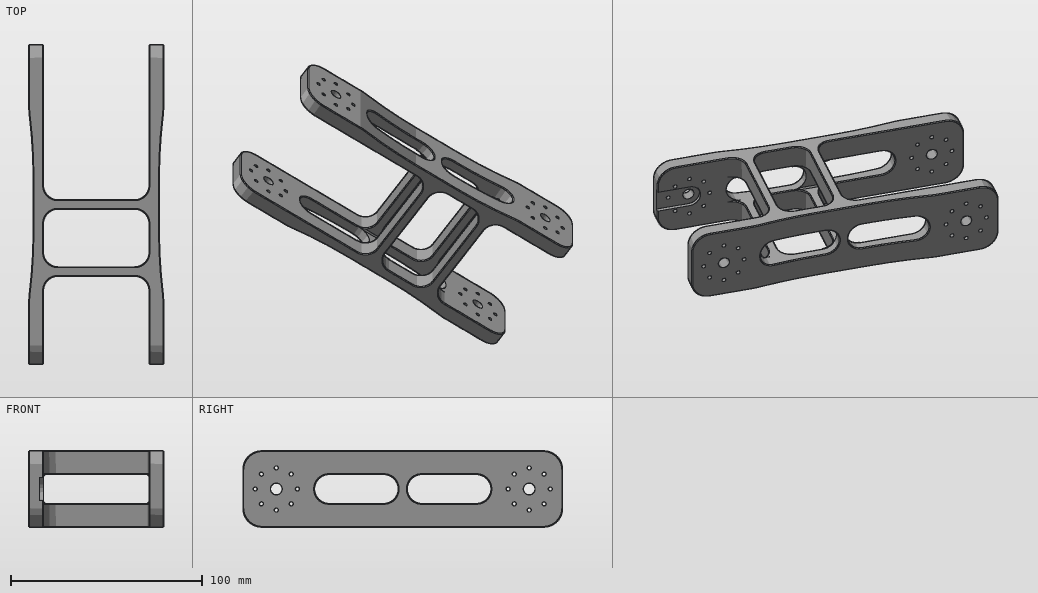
import cadquery as cq
WIDTH = 70.5
LENGTH = 167.0
HEIGHT = 40.0

ARM_THICKNESS = 7.75
ARM_END_RADIUS = 10.0
INNER_HALF_GAP = WIDTH / 2 - ARM_THICKNESS
WAIST_INSET = 2.25
WAIST_FLAT_HALF_LENGTH = 13.8
WAIST_CURVE_JOIN = 46.75
WAIST_CURVE_START = 50.25
EDGE_CHAMFER = 0.5

CENTER_TOLERANCE = 0.1

BAR_THICKNESS = 5.0
BAR_CENTERS_Y = (0.0, -35.0)
BAR_FILLET = 7.5
BAR_OPENING_HEIGHT = 15.0
BAR_OPENING_BEVEL = 0.8

SLOT_HEIGHT = 15.0
SLOT_LENGTH = 43.6
SLOT_CENTER_Y = 24.2

BOSS_CENTER_Y = 66.0
CENTER_HOLE_DIAMETER = 6.0
BOLT_HOLE_DIAMETER = 2.0
BOLT_CIRCLE_DIAMETER = 22.0
BOLT_COUNT = 8

CHANNEL_WIDTH = 12.0
CHANNEL_DEPTH = 2.0


def waisted_plate():
    """Plan outline with both long sides drawn in by tangent arcs towards the middle."""
    half_width = WIDTH / 2
    half_length = LENGTH / 2
    waist_x = half_width - WAIST_INSET
    convex_run = WAIST_CURVE_START - WAIST_CURVE_JOIN
    concave_run = WAIST_CURVE_JOIN - WAIST_FLAT_HALF_LENGTH
    join_x = half_width - WAIST_INSET * convex_run / (convex_run + concave_run)
    return (
        cq.Workplane("XY")
        .workplane(offset=-HEIGHT / 2)
        .moveTo(0, half_length)
        .lineTo(half_width, half_length)
        .lineTo(half_width, WAIST_CURVE_START)
        .tangentArcPoint((join_x, WAIST_CURVE_JOIN), relative=False)
        .tangentArcPoint((waist_x, WAIST_FLAT_HALF_LENGTH), relative=False)
        .lineTo(waist_x, -WAIST_FLAT_HALF_LENGTH)
        .tangentArcPoint((join_x, -WAIST_CURVE_JOIN), relative=False)
        .tangentArcPoint((half_width, -WAIST_CURVE_START), relative=False)
        .lineTo(half_width, -half_length)
        .lineTo(0, -half_length)
        .mirrorY()
        .extrude(HEIGHT)
    )


def bay(limits, rounded_edges, height=HEIGHT, growth=0.0):
    """Void between the arms, rounded where it meets the cross bars and grown sideways on request."""
    y_low, y_high = limits
    void = (
        cq.Workplane("XY")
        .box(2 * (INNER_HALF_GAP + growth), y_high - y_low + 2 * growth, height)
        .translate((0, (y_low + y_high) / 2, 0))
    )
    return void.edges(rounded_edges).fillet(BAR_FILLET + growth)


def between_arms():
    """Block that fills the whole gap between the arms."""
    return cq.Workplane("XY").box(2 * INNER_HALF_GAP, LENGTH, HEIGHT)


def side_slots(half_width=WIDTH / 2, growth=0.0):
    return (
        cq.Workplane("YZ")
        .pushPoints([(SLOT_CENTER_Y, 0), (-SLOT_CENTER_Y, 0)])
        .slot2D(SLOT_LENGTH + 2 * growth, SLOT_HEIGHT + 2 * growth)
        .extrude(half_width, both=True)
    )


def rear_slot_flares():
    """Chamfer volumes where the slots behind the cross bars open on the inner faces of the arms."""
    flared = side_slots(INNER_HALF_GAP + EDGE_CHAMFER, EDGE_CHAMFER)
    flared = flared.faces("<X or >X").chamfer(EDGE_CHAMFER).cut(between_arms())
    straight_start = max(BAR_CENTERS_Y) + BAR_THICKNESS / 2 + BAR_FILLET
    rear_region = cq.Workplane("XY").box(WIDTH, LENGTH, HEIGHT).translate((0, straight_start + LENGTH / 2, 0))
    return flared.intersect(rear_region)


def bolt_pattern(center_y):
    center_hole = (
        cq.Workplane("YZ").center(center_y, 0).circle(CENTER_HOLE_DIAMETER / 2).extrude(WIDTH / 2, both=True)
    )
    bolt_holes = (
        cq.Workplane("YZ")
        .center(center_y, 0)
        .polarArray(BOLT_CIRCLE_DIAMETER / 2, 0, 360, BOLT_COUNT)
        .circle(BOLT_HOLE_DIAMETER / 2)
        .extrude(WIDTH / 2, both=True)
    )
    return center_hole.union(bolt_holes)


def bar_openings():
    """One passage along Y through both cross bars, with its four long corners beveled."""
    bar_span = max(BAR_CENTERS_Y) - min(BAR_CENTERS_Y) + BAR_THICKNESS + 2 * BAR_FILLET
    passage = (
        cq.Workplane("XY")
        .box(2 * INNER_HALF_GAP, bar_span, BAR_OPENING_HEIGHT)
        .translate((0, sum(BAR_CENTERS_Y) / 2, 0))
    )
    return passage.edges("|Y").chamfer(BAR_OPENING_BEVEL)


def bar_opening_flare(limits, rounded_edges):
    """Chamfer volume on the rims facing one bay: across the bars and along the straight slot walls."""
    flare_height = BAR_OPENING_HEIGHT + 2 * EDGE_CHAMFER
    flared = bay(limits, rounded_edges, flare_height, EDGE_CHAMFER).faces("<Z or >Z").chamfer(EDGE_CHAMFER)
    straight_slots = (
        cq.Workplane("XY")
        .pushPoints([(0, SLOT_CENTER_Y), (0, -SLOT_CENTER_Y)])
        .box(WIDTH, SLOT_LENGTH - SLOT_HEIGHT, HEIGHT)
    )
    return flared.intersect(between_arms().union(straight_slots))


def end_channel():
    """Channel from the -Y end of the -X arm to a round end about the bolt pattern center."""
    run = LENGTH / 2 - BOSS_CENTER_Y
    straight_part = (
        cq.Workplane("YZ")
        .center(-BOSS_CENTER_Y - run / 2, 0)
        .rect(run, CHANNEL_WIDTH)
        .extrude(CHANNEL_DEPTH)
    )
    channel = (
        cq.Workplane("YZ")
        .center(-BOSS_CENTER_Y, 0)
        .circle(CHANNEL_WIDTH / 2)
        .extrude(CHANNEL_DEPTH)
        .union(straight_part)
    )
    return channel.translate((-INNER_HALF_GAP - CHANNEL_DEPTH, 0, 0))


def chamfer_outer_slot_mouths(plate):
    """Break the rims where the slots open on the outer sides of the still-solid plate."""
    slot_reach = (
        WIDTH,
        SLOT_CENTER_Y + SLOT_LENGTH / 2 + CENTER_TOLERANCE,
        SLOT_HEIGHT / 2 + CENTER_TOLERANCE,
    )
    opposite_reach = tuple(-reach for reach in slot_reach)
    slot_edges = plate.edges(cq.selectors.BoxSelector(opposite_reach, slot_reach))
    return slot_edges.edges("not(|X)").chamfer(EDGE_CHAMFER)


def chamfer_arm_and_bay_rims(frame):
    """Break the rims of the arms and bays; each rim is one tangent loop."""
    return frame.faces(">Z or <Z").edges("not(|X)").chamfer(EDGE_CHAMFER)


half_bar = BAR_THICKNESS / 2
rear_bar_y, front_bar_y = BAR_CENTERS_Y
BAYS = (
    ((rear_bar_y + half_bar, LENGTH / 2), "|Z and <Y"),
    ((front_bar_y + half_bar, rear_bar_y - half_bar), "|Z"),
    ((-LENGTH / 2, front_bar_y - half_bar), "|Z and >Y"),
)

result = waisted_plate().edges("|X").fillet(ARM_END_RADIUS)
result = chamfer_outer_slot_mouths(result.cut(side_slots()))
for bay_limits, bay_edges in BAYS:
    result = result.cut(bay(bay_limits, bay_edges))
result = chamfer_arm_and_bay_rims(result)

result = result.cut(bar_openings())
for bay_limits, bay_edges in BAYS:
    result = result.cut(bar_opening_flare(bay_limits, bay_edges))
result = result.cut(rear_slot_flares())

for boss_y in (BOSS_CENTER_Y, -BOSS_CENTER_Y):
    result = result.cut(bolt_pattern(boss_y))
result = result.cut(end_channel())